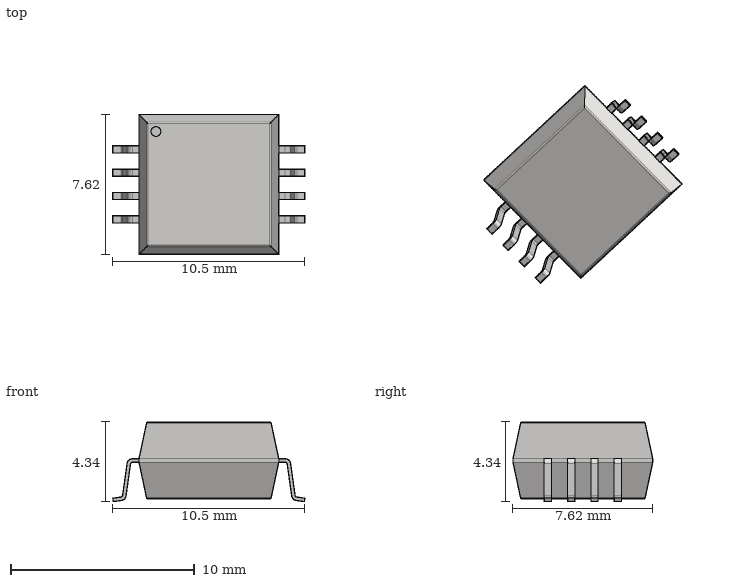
import cadquery as cq
import math

overall_length = 10.47
overall_height = 4.34

body_width = 7.62
body_height = 4.19
draft_angle = 12.0
body_edge_radius = 0.1

lead_count = 4
lead_pitch = 1.27
lead_width = 0.4
lead_thickness = 0.2
lead_shoulder = 0.35
lead_bend_radius = 0.2
lead_tilt = math.radians(8.0)
lead_embed = 0.5

mark_diameter = 0.53
mark_edge_distance = 0.93
mark_depth = 0.02

body_top = overall_height
mid_height = body_top - body_height / 2
half_width = body_width / 2


def make_body():
    """Square body, widest at the parting band and tapering to the top and bottom."""
    half_height = (body_height - lead_thickness) / 2
    band_top = mid_height + lead_thickness / 2
    band = cq.Workplane("XY", origin=(0, 0, mid_height)).box(body_width, body_width, lead_thickness)
    upper = (
        cq.Workplane("XY", origin=(0, 0, band_top))
        .rect(body_width, body_width)
        .extrude(half_height, taper=draft_angle)
        .faces(">Z")
        .edges()
        .fillet(body_edge_radius)
    )
    lower = upper.mirror("XY", (0, 0, mid_height))
    return band.union(upper).union(lower)


def along(point, direction, distance):
    """Point reached from `point` by moving `distance` along a unit direction."""
    return (point[0] + direction[0] * distance, point[1] + direction[1] * distance)


def make_lead(y_position):
    """Gull-wing lead on the +X side, swept along its centreline."""
    sin_tilt = math.sin(lead_tilt)
    cos_tilt = math.cos(lead_tilt)
    outward = (1.0, 0.0)
    leg_direction = (sin_tilt, -cos_tilt)
    foot_direction = (cos_tilt, -sin_tilt)

    shoulder_turn = math.pi / 2 - lead_tilt
    heel_turn = math.pi / 2 - 2 * lead_tilt
    shoulder_setback = lead_bend_radius * math.tan(shoulder_turn / 2)
    heel_setback = lead_bend_radius * math.tan(heel_turn / 2)

    toe = (
        overall_length / 2 - lead_thickness / 2 * sin_tilt,
        lead_thickness / 2 * cos_tilt,
    )
    start = (half_width - lead_embed, mid_height)
    shoulder_corner = (half_width + lead_shoulder + shoulder_setback, mid_height)

    run = toe[0] - shoulder_corner[0]
    drop = shoulder_corner[1] - toe[1]
    leg_length = (drop * cos_tilt - run * sin_tilt) / math.cos(2 * lead_tilt)
    heel_corner = along(shoulder_corner, leg_direction, leg_length)

    centreline = (
        cq.Workplane("XZ", origin=(0, y_position, 0))
        .moveTo(*start)
        .lineTo(*along(shoulder_corner, outward, -shoulder_setback))
        .tangentArcPoint(along(shoulder_corner, leg_direction, shoulder_setback), relative=False)
        .lineTo(*along(heel_corner, leg_direction, -heel_setback))
        .tangentArcPoint(along(heel_corner, foot_direction, heel_setback), relative=False)
        .lineTo(*toe)
    )
    section = cq.Workplane("YZ", origin=(start[0], y_position, start[1]))
    return section.rect(lead_width, lead_thickness).sweep(centreline)


def make_pin_mark():
    """Cutter for the pin 1 mark in the -X, +Y corner of the top face."""
    offset = half_width - mark_edge_distance
    return (
        cq.Workplane("XY", origin=(-offset, offset, body_top - mark_depth))
        .circle(mark_diameter / 2)
        .extrude(mark_depth)
    )


result = make_body().cut(make_pin_mark())
for index in range(lead_count):
    lead = make_lead((index - (lead_count - 1) / 2) * lead_pitch)
    result = result.union(lead).union(lead.mirror("YZ"))